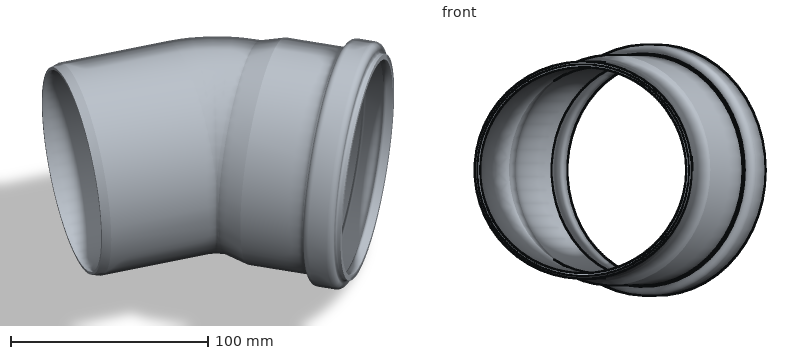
import cadquery as cq
import math

bore_diameter = 104.5
bore_radius = bore_diameter / 2
spigot_radius = 110.3 / 2
wall = spigot_radius - bore_radius
spigot_length = 61.3
tip_chamfer_length = 4.5
tip_chamfer_depth = 1.4

bend_angle = 30
bend_radius = 51.2

collar_length = 1.9
cone_end = 14.2
bead_start = 47.8
bead_end = 63.5
lip_end = 66.5
socket_radius = 117.0 / 2
bead_radius = 127.7 / 2
lip_radius = 116.7 / 2
bead_fillet = 3.3
neck_length = 1.0
neck_step = 0.7
neck_radius = socket_radius + neck_step

groove_fillet = 0.9
lip_fillet = 1.5
groove_end = 61.3


def spigot_body():
    tip_radius = spigot_radius - tip_chamfer_depth
    profile = [
        (0, 0),
        (tip_radius, 0),
        (spigot_radius, tip_chamfer_length),
        (spigot_radius, spigot_length),
        (0, spigot_length),
    ]
    return cq.Workplane("XY").polyline(profile).close().revolve(360, (0, 0), (0, 1))


def spigot_bore():
    return cq.Workplane("XZ").circle(bore_radius).extrude(-spigot_length)


def bend(radius):
    """Revolve the part of the tube disc that lies outside the bend axis."""
    half_chord = math.sqrt(radius**2 - bend_radius**2)
    return (
        cq.Workplane("XZ", origin=(0, spigot_length, 0))
        .moveTo(bend_radius, half_chord)
        .threePointArc((-radius, 0), (bend_radius, -half_chord))
        .close()
        .revolve(bend_angle, (bend_radius, 1.7), (bend_radius, 0))
    )


def ring_solid(start, end, radius):
    return cq.Workplane("XZ", origin=(0, start, 0)).circle(radius).extrude(start - end)


def flared_core(offset):
    """Collar, cone and socket barrel, with all radii reduced by the offset."""
    profile = [
        (0, 0),
        (spigot_radius - offset, 0),
        (spigot_radius - offset, collar_length),
        (socket_radius - offset, cone_end),
        (socket_radius - offset, bead_start + wall),
        (0, bead_start + wall),
    ]
    return cq.Workplane("XY").polyline(profile).close().revolve(360, (0, 0), (0, 1))


def lip_root(start, radius):
    """Solid with a concave quarter-round side, narrowing to the given radius."""
    middle = lip_fillet * (1 - math.sqrt(0.5))
    return (
        cq.Workplane("XY")
        .moveTo(0, start)
        .lineTo(radius + lip_fillet, start)
        .threePointArc((radius + middle, start + middle), (radius, start + lip_fillet))
        .lineTo(0, start + lip_fillet)
        .close()
        .revolve(360, (0, 0), (0, 1))
    )


def socket_body():
    neck = ring_solid(bead_start - neck_length, bead_start + wall, neck_radius)
    bead = ring_solid(bead_start, bead_end, bead_radius).edges().fillet(bead_fillet)
    lip = ring_solid(bead_end - wall, lip_end, lip_radius)
    root = lip_root(bead_end, lip_radius)
    return flared_core(0).union(neck).union(bead).union(lip).union(root)


def socket_bore():
    groove = ring_solid(bead_start + wall, groove_end, bead_radius - wall)
    groove = groove.edges().fillet(groove_fillet)
    mouth = ring_solid(groove_end - wall, lip_end, lip_radius - wall)
    root = lip_root(groove_end, lip_radius - wall)
    return flared_core(wall).union(groove).union(mouth).union(root)


def at_bend_end(socket):
    """Move a socket built along Y from the origin to the end of the bend."""
    pivot = (bend_radius, spigot_length, 0)
    pivot_top = (bend_radius, spigot_length, 1)
    return socket.translate((0, spigot_length, 0)).rotate(pivot, pivot_top, -bend_angle)


outside = spigot_body().union(bend(spigot_radius)).union(at_bend_end(socket_body()))
inside = spigot_bore().union(bend(bore_radius)).union(at_bend_end(socket_bore()))
result = outside.cut(inside)